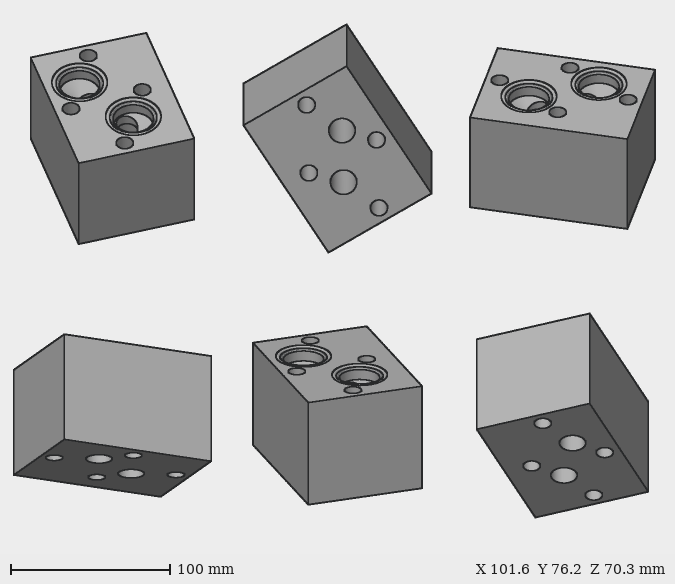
import cadquery as cq
import math

length = 101.6
width = 76.2
total_height = 70.3
ring_protrusion = 0.4
block_height = total_height - ring_protrusion

ring_section = 2.6
ring_outer_diameter = 35.0
ring_section_radius = ring_section / 2
ring_mean_radius = ring_outer_diameter / 2 - ring_section_radius
groove_outer_radius = ring_outer_diameter / 2
groove_inner_radius = groove_outer_radius - ring_section
groove_depth = ring_section - ring_protrusion

port_diameter = 25.4
port_depth = 8.8
mouth_depth = 2.0
chamfer_width = 1.0
chamfer_height = 0.9
lip_edge_depth = 1.1
lip_crest_depth = 0.8
lip_crest_position = 0.66
drill_point_angle = 118.0
port_radius = port_diameter / 2
drill_point_length = port_radius / math.tan(math.radians(drill_point_angle / 2))

passage_diameter = 13.4
lower_passage_diameter = 16.6
lower_passage_top = block_height - 16.3

port_layout = [
    ((-19.9, -15.4), (-15.1, -12.7)),
    ((19.9, 7.5), (15.1, 4.9)),
]

bolt_diameter = 10.8
bolt_points = [(-41.7, -2.9), (1.6, -27.8), (-1.6, 20.1), (41.7, -4.9)]


def port_cutter(port):
    """Groove, lip, chamfered bore and drill point of one port, turned as one cutter."""
    lip_start_radius = port_radius + chamfer_width
    lip_start = (lip_start_radius, block_height - mouth_depth + chamfer_height)
    lip_crest = (lip_start_radius + lip_crest_position, block_height - lip_crest_depth)
    lip_end = (groove_inner_radius, block_height - lip_edge_depth)
    groove_floor = block_height - groove_depth
    return (
        cq.Workplane("XZ")
        .moveTo(0, block_height)
        .lineTo(groove_outer_radius, block_height)
        .lineTo(groove_outer_radius, groove_floor)
        .lineTo(groove_inner_radius, groove_floor)
        .lineTo(*lip_end)
        .threePointArc(lip_crest, lip_start)
        .lineTo(port_radius, block_height - mouth_depth)
        .lineTo(port_radius, block_height - port_depth)
        .lineTo(0, block_height - port_depth - drill_point_length)
        .close()
        .revolve(360, (0, 0), (0, 1))
        .translate((*port, 0))
    )


def vertical_holes(points, diameter, top):
    """Round cutters from the bottom face up to the given height."""
    return cq.Workplane("XY").pushPoints(points).circle(diameter / 2).extrude(top)


def make_block():
    """Rectangular block with bolt holes, ports and stepped passages."""
    block = cq.Workplane("XY").box(length, width, block_height, centered=(True, True, False))
    for port, _ in port_layout:
        block = block.cut(port_cutter(port))
    passages = [passage for _, passage in port_layout]
    passage_top = block_height - port_depth
    block = block.cut(vertical_holes(passages, passage_diameter, passage_top))
    block = block.cut(vertical_holes(passages, lower_passage_diameter, lower_passage_top))
    return block.cut(vertical_holes(bolt_points, bolt_diameter, block_height))


def make_seal_ring(port):
    """Round-section ring lying in the groove of a port and standing proud of the block."""
    ring_centre_height = total_height - ring_section_radius
    ring = cq.Solid.makeTorus(ring_mean_radius, ring_section_radius)
    return ring.translate(cq.Vector(*port, ring_centre_height))


block = make_block()
seal_rings = [make_seal_ring(port) for port, _ in port_layout]

result = cq.Compound.makeCompound([block.val(), *seal_rings])